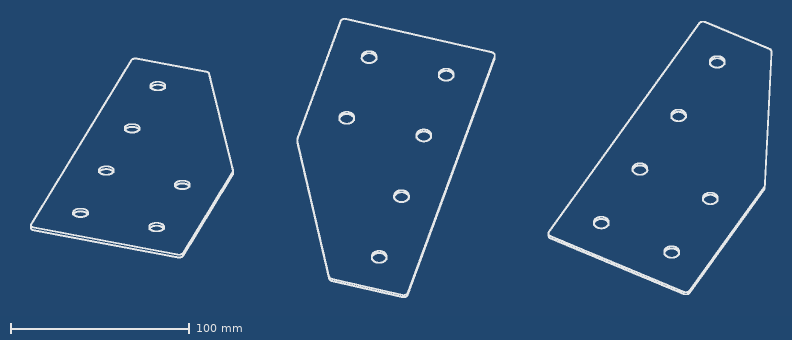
import cadquery as cq

length = 180.0
width = length / 2
thickness = 2.0
pitch = length / 4
edge_margin = pitch / 2
hole_diameter = 8.5
corner_radius = 2.5

outline = [
    (0, 0),
    (width, 0),
    (width, 2 * pitch),
    (pitch, length),
    (0, length),
]
plate = cq.Workplane("XY").polyline(outline).close().extrude(thickness)
plate = plate.edges("|Z").fillet(corner_radius)

holes_per_column = [4, 2]
hole_centers = [
    (edge_margin + column * pitch, edge_margin + row * pitch)
    for column, row_count in enumerate(holes_per_column)
    for row in range(row_count)
]
hole_cutters = (
    cq.Workplane("XY")
    .pushPoints(hole_centers)
    .circle(hole_diameter / 2)
    .extrude(thickness)
)

result = plate.cut(hole_cutters)